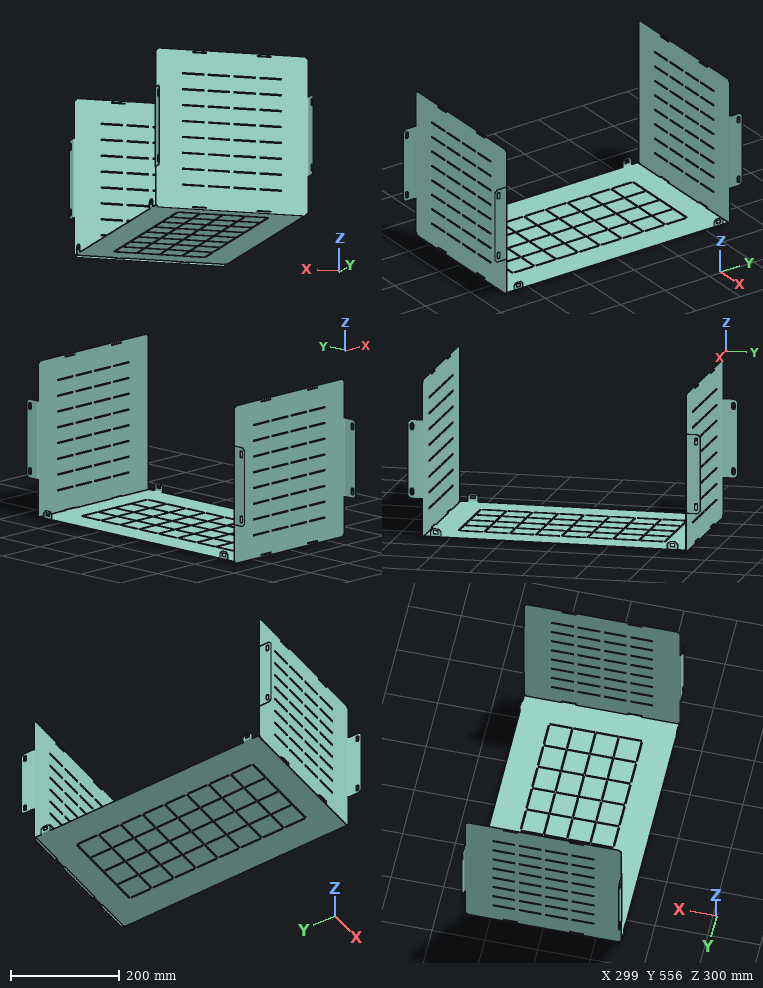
import cadquery as cq
import math

sheet = 1.0
bend_inner = 1.0
bend_outer = bend_inner + sheet
cut_through = 4 * sheet

overall_width = 299.0
overall_depth = 556.01
panel_height = 300.0
panel_width = overall_width - 2 * bend_outer
flange_reach = 27.0
panel_outer_y = overall_depth / 2 - flange_reach
panel_inner_y = panel_outer_y - sheet
panel_corner = 5.0

vent_columns = 4
vent_rows = 8
vent_pitch_x = 50.0
vent_pitch_z = 30.0
vent_length = 41.0
vent_height = 2.0

tongue_spacing = 125.0
tongue_width = 25.0
tongue_reach = 2.0
tongue_taper = 3.5
tongue_slot_length = 26.0
tongue_slot_height = 1.5
tongue_slot_edge = 3.25

flange_height = 150.0
flange_corner = 5.0
flange_slot_width = 6.0
flange_slot_length = 13.0
flange_slot_spacing = 124.0
flange_slot_inset = 8.0

shelf_bottom = tongue_slot_edge + (tongue_slot_height - sheet) / 2
lug_span = 298.0
shelf_width = lug_span - 2 * bend_outer
shelf_gap = 2.0
grid_columns = 4
grid_rows = 8
grid_pitch_x = 44.0
grid_pitch_y = 49.0
grid_slot_width = 2.0
grid_slot_length = 41.0

lug_y = 225.0
lug_width = 20.0
lug_top = 19.5
lug_corner = 5.0
lug_hole_width = 8.0
lug_hole_height = 6.0
lug_hole_z = 13.0


def spread(count, pitch):
    """Return count positions at the given pitch, centred on zero."""
    return [(i - (count - 1) / 2) * pitch for i in range(count)]


def lattice(columns, pitch_u, rows, pitch_v):
    """Return the points of a rectangular lattice centred on zero."""
    return [(u, v) for u in spread(columns, pitch_u) for v in spread(rows, pitch_v)]


def bent_strip(edge, inner_face, tip):
    """Closed XY profile of a strip that leaves a sheet at x = edge and turns toward +Y.

    inner_face is the y of the sheet face on the outside of the bend; tip is the y of the free end.
    """
    outer_x = edge + bend_outer
    bend_y = inner_face + bend_outer
    diagonal = math.sqrt(0.5)
    outer_mid = (edge + bend_outer * diagonal, bend_y - bend_outer * diagonal)
    inner_mid = (edge + bend_inner * diagonal, bend_y - bend_inner * diagonal)
    return (
        cq.Workplane("XY")
        .moveTo(edge, inner_face)
        .threePointArc(outer_mid, (outer_x, bend_y))
        .lineTo(outer_x, tip)
        .lineTo(outer_x - sheet, tip)
        .lineTo(outer_x - sheet, bend_y)
        .threePointArc(inner_mid, (edge, inner_face + sheet))
        .close()
    )


def flange():
    """Mounting flange on the +X edge of the +Y panel, with its bend."""
    tip_y = overall_depth / 2
    blank = bent_strip(panel_width / 2, panel_inner_y, tip_y).extrude(flange_height)
    blank = blank.translate((0, 0, (panel_height - flange_height) / 2))
    blank = blank.edges("|X and >Y").chamfer(flange_corner)
    slots = (
        cq.Workplane("YZ", origin=(0, tip_y - flange_slot_inset, panel_height / 2))
        .pushPoints(lattice(1, 0, 2, flange_slot_spacing))
        .slot2D(flange_slot_length, flange_slot_width, 90)
        .extrude(overall_width)
    )
    return blank.cut(slots)


def panel_cuts():
    """Vents and tongue slots of the +Y panel."""
    middle = cq.Workplane("XZ", origin=(0, panel_outer_y - sheet / 2, panel_height / 2))
    vents = (
        middle.pushPoints(lattice(vent_columns, vent_pitch_x, vent_rows, vent_pitch_z))
        .rect(vent_length, vent_height)
        .extrude(cut_through / 2, both=True)
    )
    slot_spacing_z = panel_height - 2 * tongue_slot_edge - tongue_slot_height
    tongue_slots = (
        middle.pushPoints(lattice(2, tongue_spacing, 2, slot_spacing_z))
        .rect(tongue_slot_length, tongue_slot_height)
        .extrude(cut_through / 2, both=True)
    )
    return vents, tongue_slots


def end_panel():
    """The +Y end panel with its vents, tongue slots and two flanges."""
    plate = (
        cq.Workplane("XY")
        .box(panel_width, sheet, panel_height)
        .edges("|Y")
        .chamfer(panel_corner)
        .translate((0, panel_outer_y - sheet / 2, panel_height / 2))
    )
    for cut in panel_cuts():
        plate = plate.cut(cut)
    right_flange = flange()
    return plate.union(right_flange).union(right_flange.mirror("YZ"))


def lug():
    """Upright lug near the +X, +Y corner of the shelf, with its bend."""
    blank = bent_strip(shelf_width / 2, shelf_bottom, lug_top).extrude(lug_width / 2, both=True)
    blank = blank.edges("|X and >Y").chamfer(lug_corner)
    blank = blank.rotate((0, 0, 0), (1, 0, 0), 90).translate((0, lug_y, 0))
    hole = (
        cq.Workplane("YZ", origin=(0, lug_y, lug_hole_z))
        .rect(lug_hole_width, lug_hole_height)
        .extrude(lug_span)
    )
    return blank.cut(hole)


def grid_cuts():
    """Cross slots and lengthwise slots of the shelf grid."""
    middle = cq.Workplane("XY", origin=(0, 0, shelf_bottom + sheet / 2))
    cross_slots = (
        middle.pushPoints(lattice(grid_columns, grid_pitch_x, grid_rows + 1, grid_pitch_y))
        .rect(grid_slot_length, grid_slot_width)
        .extrude(cut_through / 2, both=True)
    )
    lengthwise_slots = (
        middle.pushPoints(lattice(grid_columns + 1, grid_pitch_x, grid_rows, grid_pitch_y))
        .rect(grid_slot_width, grid_slot_length)
        .extrude(cut_through / 2, both=True)
    )
    return cross_slots, lengthwise_slots


def tongue_strip():
    """Strip over the whole shelf depth whose tapered ends are two opposite tongues."""
    half_base = tongue_width / 2
    half_tip = half_base - tongue_taper
    tip_y = panel_outer_y + tongue_reach
    return (
        cq.Workplane("XY")
        .polyline([
            (half_base, -panel_outer_y),
            (half_base, panel_outer_y),
            (half_tip, tip_y),
            (-half_tip, tip_y),
            (-half_base, panel_outer_y),
            (-half_base, -panel_outer_y),
            (-half_tip, -tip_y),
            (half_tip, -tip_y),
        ])
        .close()
        .extrude(sheet)
    )


def shelf():
    """Flat shelf with its tongues, its grid of slots and four lugs."""
    middle = cq.Workplane("XY", origin=(0, 0, shelf_bottom + sheet / 2))
    body = middle.box(shelf_width, 2 * (panel_inner_y - shelf_gap), sheet)
    for x in spread(2, tongue_spacing):
        body = body.union(tongue_strip().translate((x, 0, shelf_bottom)))
    for cut in grid_cuts():
        body = body.cut(cut)
    back_right = lug()
    front_right = back_right.mirror("XZ")
    for right_lug in (back_right, front_right):
        body = body.union(right_lug).union(right_lug.mirror("YZ"))
    return body


tray = shelf()
back_panel = end_panel()
front_panel = back_panel.mirror("XZ")

result = cq.Compound.makeCompound([tray.val(), front_panel.val(), back_panel.val()])